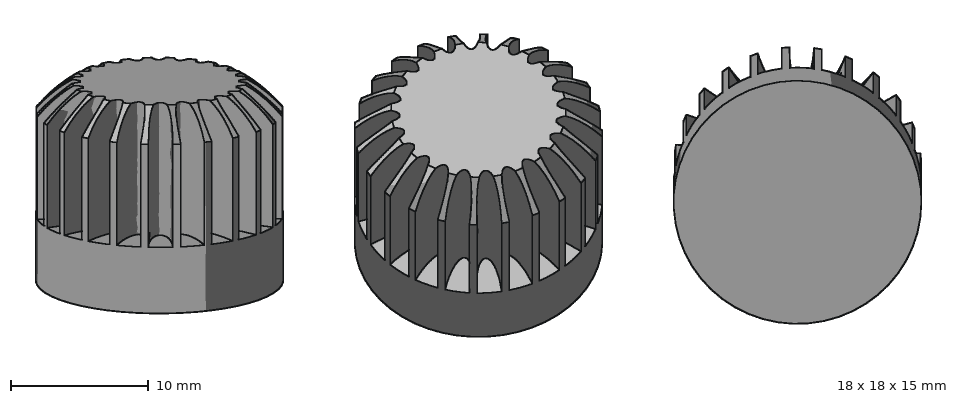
import cadquery as cq
import math

outer_radius = 9.0
total_height = 15.0
collar_height = 5.0

crown_radius = 12.0
crown_center_height = 4.82

flute_count = 24
flute_depth = 3.25
flute_width = 1.78


def crown_point(radius):
    """Point (radius, height) of the crown sphere at a given distance from the axis."""
    return radius, crown_center_height + math.sqrt(crown_radius**2 - radius**2)


def make_body():
    """Solid of revolution: straight wall, spherical crown and flat top."""
    top_radius = math.sqrt(crown_radius**2 - (total_height - crown_center_height) ** 2)
    crown_middle_radius = (outer_radius + top_radius) / 2
    profile = (
        cq.Workplane("XZ")
        .lineTo(outer_radius, 0)
        .lineTo(*crown_point(outer_radius))
        .threePointArc(crown_point(crown_middle_radius), (top_radius, total_height))
        .lineTo(0, total_height)
        .close()
    )
    return profile.revolve(360, (0, 0, 0), (0, 1, 0))


def make_flutes():
    """Elliptical cutters from the collar to the top, spaced evenly round the axis."""
    return (
        cq.Workplane("XY")
        .workplane(offset=collar_height)
        .polarArray(outer_radius, 0, 360, flute_count)
        .ellipse(flute_depth, flute_width / 2)
        .extrude(total_height - collar_height)
    )


result = make_body().cut(make_flutes())